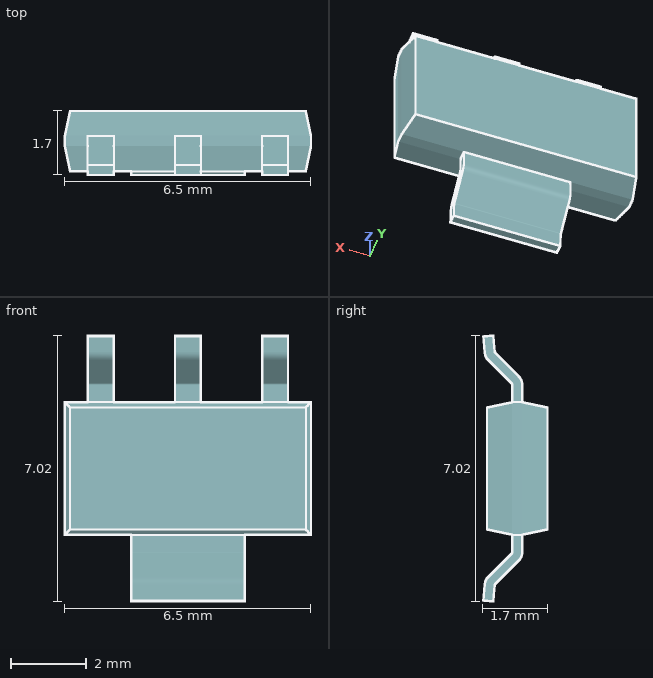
import cadquery as cq
import math

BODY_WIDTH = 6.5
BODY_HEIGHT = 3.5
BODY_THICKNESS = 1.6
DRAFT_INSET = 0.14

SHEET_THICKNESS = 0.27
LEAD_WIDTH = 0.69
LEAD_PITCH = 2.3
LEAD_COUNT = 3
TAB_WIDTH = 3.0
OVERALL_HEIGHT = 7.02
FOOT_REACH = 0.9

STRAIGHT_LENGTH = 0.45
INNER_BEND_RADIUS = 0.06
SLOPE_ANGLE = math.radians(45)
FOOT_ANGLE = math.radians(5)

HALF_SHEET = SHEET_THICKNESS / 2
BEND_RADIUS = INNER_BEND_RADIUS + HALF_SHEET
TERMINAL_LENGTH = (OVERALL_HEIGHT - BODY_HEIGHT) / 2


def make_body():
    """Parting band with a tapered block on its front and back."""
    band = cq.Workplane("XY").box(BODY_WIDTH, SHEET_THICKNESS, BODY_HEIGHT)
    taper_depth = (BODY_THICKNESS - SHEET_THICKNESS) / 2
    draft_angle = math.degrees(math.atan2(DRAFT_INSET, taper_depth))
    front = (
        cq.Workplane("XZ", origin=(0, -HALF_SHEET, 0))
        .rect(BODY_WIDTH, BODY_HEIGHT)
        .extrude(taper_depth, taper=draft_angle)
    )
    back = front.mirror("XZ")
    return band.union(front).union(back)


def leg_lengths():
    """Lengths of the sloped leg and foot that meet the overall height and foot reach."""
    bends_y = BEND_RADIUS * (1 + math.cos(FOOT_ANGLE) - 2 * math.cos(SLOPE_ANGLE))
    bends_z = BEND_RADIUS * (2 * math.sin(SLOPE_ANGLE) - math.sin(FOOT_ANGLE))
    legs_y = FOOT_REACH - bends_y - HALF_SHEET * math.cos(FOOT_ANGLE)
    legs_z = TERMINAL_LENGTH - STRAIGHT_LENGTH - bends_z - HALF_SHEET * math.sin(FOOT_ANGLE)
    turn = math.sin(SLOPE_ANGLE - FOOT_ANGLE)
    slope = (legs_y * math.cos(FOOT_ANGLE) - legs_z * math.sin(FOOT_ANGLE)) / turn
    foot = (legs_z * math.sin(SLOPE_ANGLE) - legs_y * math.cos(SLOPE_ANGLE)) / turn
    return slope, foot


def polar_point(center, radius, angle):
    """Point at an angle from +Y towards +Z around a bend centre, as (y, z)."""
    return (center[0] + radius * math.cos(angle), center[1] + radius * math.sin(angle))


def make_terminal(width):
    """Upward terminal at X = 0, starting at the middle of the body."""
    slope_length, foot_length = leg_lengths()
    inner = INNER_BEND_RADIUS
    outer = INNER_BEND_RADIUS + SHEET_THICKNESS
    middle_of_first = SLOPE_ANGLE / 2
    middle_of_second = math.pi + (SLOPE_ANGLE + FOOT_ANGLE) / 2

    bend_1 = (-BEND_RADIUS, BODY_HEIGHT / 2 + STRAIGHT_LENGTH)
    slope_start = polar_point(bend_1, BEND_RADIUS, SLOPE_ANGLE)
    slope_end = polar_point(slope_start, slope_length, SLOPE_ANGLE + math.pi / 2)
    bend_2 = polar_point(slope_end, BEND_RADIUS, SLOPE_ANGLE)

    foot_direction = FOOT_ANGLE + math.pi / 2
    foot_back = polar_point(bend_2, inner, math.pi + FOOT_ANGLE)
    foot_front = polar_point(bend_2, outer, math.pi + FOOT_ANGLE)

    return (
        cq.Workplane("YZ", origin=(-width / 2, 0, 0))
        .moveTo(HALF_SHEET, 0)
        .lineTo(HALF_SHEET, bend_1[1])
        .threePointArc(polar_point(bend_1, outer, middle_of_first), polar_point(bend_1, outer, SLOPE_ANGLE))
        .lineTo(*polar_point(bend_2, inner, math.pi + SLOPE_ANGLE))
        .threePointArc(polar_point(bend_2, inner, middle_of_second), foot_back)
        .lineTo(*polar_point(foot_back, foot_length, foot_direction))
        .lineTo(*polar_point(foot_front, foot_length, foot_direction))
        .lineTo(*foot_front)
        .threePointArc(
            polar_point(bend_2, outer, middle_of_second),
            polar_point(bend_2, outer, math.pi + SLOPE_ANGLE),
        )
        .lineTo(*polar_point(bend_1, inner, SLOPE_ANGLE))
        .threePointArc(polar_point(bend_1, inner, middle_of_first), (-HALF_SHEET, bend_1[1]))
        .lineTo(-HALF_SHEET, 0)
        .close()
        .extrude(width)
    )


def add_leads(part):
    """Row of leads along the top edge."""
    lead = make_terminal(LEAD_WIDTH)
    for index in range(LEAD_COUNT):
        x = (index - (LEAD_COUNT - 1) / 2) * LEAD_PITCH
        part = part.union(lead.translate((x, 0, 0)))
    return part


def add_tab(part):
    """Wide tab along the bottom edge, with the same profile as the leads."""
    return part.union(make_terminal(TAB_WIDTH).mirror("XY"))


result = add_tab(add_leads(make_body()))